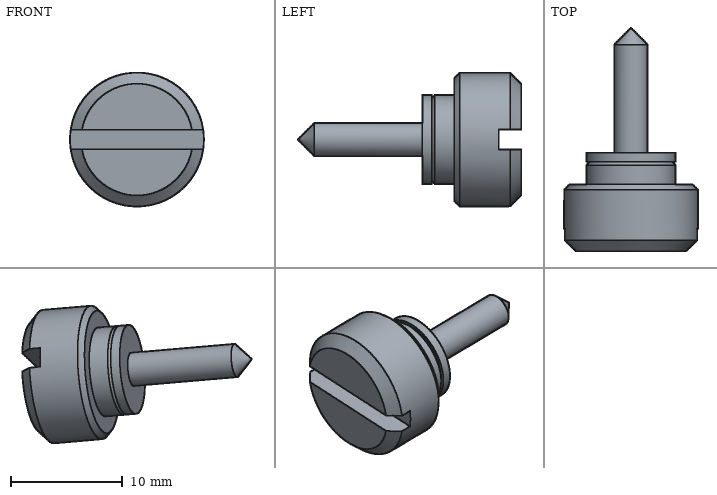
import cadquery as cq

total_length = 20.0

head_radius = 6.0
head_length = 6.0
head_front_chamfer = 1.0
head_back_chamfer = 0.5

slot_width = 1.75
slot_depth = 2.0

shoulder_radius = 4.0
shoulder_length = 2.0
shoulder_chamfer = 0.28
shoulder_end = head_length + shoulder_length

pin_radius = 1.5
tip_length = pin_radius

washer_radius = shoulder_radius
washer_thickness = 0.85


def make_screw():
    """Slotted head, shoulder and pointed pin, turned about the Y axis."""
    profile = (
        cq.Workplane("XY")
        .moveTo(0, 0)
        .lineTo(head_radius - head_front_chamfer, 0)
        .lineTo(head_radius, head_front_chamfer)
        .lineTo(head_radius, head_length - head_back_chamfer)
        .lineTo(head_radius - head_back_chamfer, head_length)
        .lineTo(shoulder_radius, head_length)
        .lineTo(shoulder_radius, shoulder_end - shoulder_chamfer)
        .lineTo(shoulder_radius - shoulder_chamfer, shoulder_end)
        .lineTo(pin_radius, shoulder_end)
        .lineTo(pin_radius, total_length - tip_length)
        .lineTo(0, total_length)
        .close()
    )
    turned = profile.revolve(360, (0, 0, 0), (0, 1, 0))

    slot = cq.Workplane("XY").box(
        2 * head_radius, slot_depth, slot_width, centered=(True, False, True)
    )
    return turned.cut(slot).solids()


def make_washer():
    """Flat ring whose bore fits the pin."""
    return (
        cq.Workplane("XZ")
        .workplane(offset=-shoulder_end)
        .circle(washer_radius)
        .circle(pin_radius)
        .extrude(-washer_thickness)
    )


screw = make_screw()
washer = make_washer()

result = cq.Compound.makeCompound([screw.val(), washer.val()])